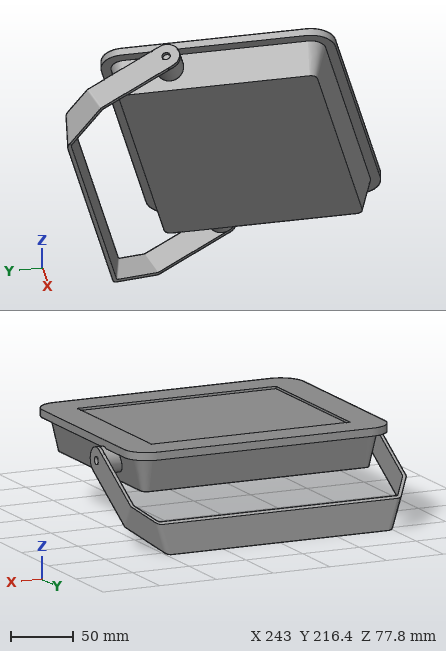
import cadquery as cq
import math


lid_length = 229.9
lid_width = 189.5
lid_thickness = 6.5
corner_radius = 20.0
window_length = 175.0
window_width = 136.0
window_depth = 2.0

body_inset = 8.0
body_height = 29.0
body_taper_run = 6.5

overall_length = 243.0
pivot_y = 37.5
pivot_z = -16.5
pivot_diameter = 22.0

strip_thickness = 3.0
strip_angle = 30.0
hole_diameter = 6.5
bracket_back_y = 121.7
leg_length = 67.0
diagonal_slope = 0.62
leg_bend_radius = 3.6
back_bend_radius = 4.9
position_tolerance = 0.02
strip_reach = 145.8

half_length = overall_length / 2
leg_inner_x = half_length - strip_thickness


def make_lid():
    lid = (
        cq.Workplane("XY")
        .rect(lid_length, lid_width)
        .extrude(-lid_thickness)
        .edges("|Z")
        .fillet(corner_radius)
    )
    window = cq.Workplane("XY").rect(window_length, window_width).extrude(-window_depth)
    return lid.cut(window)


def make_tapered_body():
    outline = cq.Sketch().rect(lid_length - 2 * body_inset, lid_width - 2 * body_inset)
    outline = outline.vertices().fillet(corner_radius - body_inset)
    taper = math.degrees(math.atan2(body_taper_run, body_height))
    return (
        cq.Workplane("XY", origin=(0, 0, -lid_thickness))
        .placeSketch(outline)
        .extrude(-body_height, taper=taper)
    )


def make_bosses():
    """One rod through the body; its two ends are the bosses that carry the bracket."""
    return (
        cq.Workplane("YZ")
        .center(pivot_y, pivot_z)
        .circle(pivot_diameter / 2)
        .extrude(leg_inner_x, both=True)
    )


def make_housing():
    return make_lid().union(make_tapered_body()).union(make_bosses())


def bracket_envelope(offset):
    """Solid inside the bent strip's outer face, shrunk by offset, with rounded bends."""
    half_width = half_length - offset
    bend_shift = offset * (math.hypot(1, diagonal_slope) - 1) / diagonal_slope
    bend = leg_length - bend_shift
    end_x = half_width - diagonal_slope * (strip_reach - bend)
    points = [
        (half_width, -pivot_diameter),
        (half_width, bend),
        (end_x, strip_reach),
        (-end_x, strip_reach),
        (-half_width, bend),
        (-half_width, -pivot_diameter),
    ]
    prism = (
        cq.Workplane("XY")
        .polyline(points)
        .close()
        .extrude(2 * pivot_diameter, both=True)
        .rotate((0, 0, 0), (1, 0, 0), -strip_angle)
        .translate((0, pivot_y, pivot_z))
    )
    back_y = bracket_back_y - offset
    trim_size = 4 * overall_length
    trim = cq.Workplane("XY").box(trim_size, trim_size, trim_size)
    trimmed = prism.intersect(trim.translate((0, back_y - trim_size / 2, 0)))

    def is_leg_bend(edge):
        middle = edge.Center()
        down_strip = (middle.y - pivot_y) * math.cos(math.radians(strip_angle))
        down_strip -= (middle.z - pivot_z) * math.sin(math.radians(strip_angle))
        at_bend = abs(down_strip - bend) < position_tolerance
        return at_bend and abs(abs(middle.x) - half_width) < position_tolerance

    def is_back_bend(edge):
        ends_differ_in_z = abs(edge.startPoint().z - edge.endPoint().z) > position_tolerance
        return ends_differ_in_z and abs(edge.Center().y - back_y) < position_tolerance

    leg_bends = [edge for edge in trimmed.edges().vals() if is_leg_bend(edge)]
    rounded = trimmed.newObject(leg_bends).fillet(leg_bend_radius - offset)
    back_bends = [edge for edge in rounded.edges().vals() if is_back_bend(edge)]
    return rounded.newObject(back_bends).fillet(back_bend_radius - offset)


def make_bracket():
    shell = bracket_envelope(0).cut(bracket_envelope(strip_thickness))
    side = (
        cq.Workplane("YZ")
        .circle(pivot_diameter / 2)
        .extrude(half_length, both=True)
        .union(
            cq.Workplane("YZ")
            .center(strip_reach / 2, 0)
            .rect(strip_reach, pivot_diameter)
            .extrude(half_length, both=True)
        )
    )
    holes = cq.Workplane("YZ").circle(hole_diameter / 2).extrude(half_length, both=True)
    strip = (
        side.cut(holes)
        .rotate((0, 0, 0), (1, 0, 0), -strip_angle)
        .translate((0, pivot_y, pivot_z))
    )
    return shell.intersect(strip)


housing = make_housing()
bracket = make_bracket()

result = cq.Compound.makeCompound([housing.val(), bracket.val()])